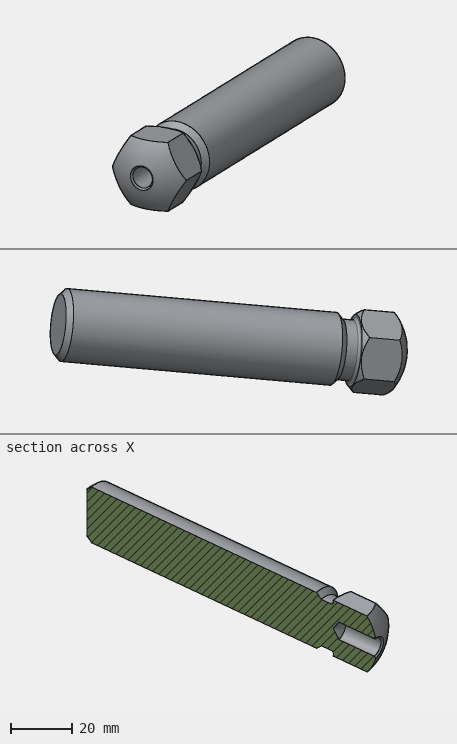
import cadquery as cq
import math

length = 117.0
tip_y = -length / 2
end_y = length / 2

shaft_radius = 11.99
end_chamfer = 2.0
neck_radius = 10.0
neck_chamfer = shaft_radius - neck_radius
neck_fillet = 0.9
shaft_start_y = tip_y + 24.0
neck_start_y = shaft_start_y - neck_chamfer

across_flats = 24.0
corner_radius = across_flats / math.sqrt(3)
head_length = 17.3
head_back_y = tip_y + head_length
back_face_radius = 11.8
back_chamfer = corner_radius - back_face_radius
dome_radius = 20.0

hole_radius = 3.6
rim_radius = 4.2
rim_depth = rim_radius - hole_radius
hole_depth = 15.0
drill_point_angle = 118.0
drill_point_length = hole_radius / math.tan(math.radians(drill_point_angle / 2))

dome_center_y = tip_y + math.sqrt(dome_radius**2 - rim_radius**2)
dome_apex_y = dome_center_y - dome_radius


def dome_y(radius):
    """Y position of the dome surface at a given distance from the axis."""
    return dome_center_y - math.sqrt(dome_radius**2 - radius**2)


def revolve_about_y(profile):
    return profile.close().revolve(360, (0, 0, 0), (0, 1, 0))


def make_shaft():
    """Chamfered shaft with a neck that flares into the head through a fillet."""
    fillet_drop = neck_fillet * (1 - math.sqrt(0.5))
    profile = (
        cq.Workplane("XY")
        .moveTo(0, head_back_y)
        .lineTo(neck_radius + neck_fillet, head_back_y)
        .threePointArc(
            (neck_radius + fillet_drop, head_back_y + fillet_drop),
            (neck_radius, head_back_y + neck_fillet),
        )
        .lineTo(neck_radius, neck_start_y)
        .lineTo(shaft_radius, shaft_start_y)
        .lineTo(shaft_radius, end_y - end_chamfer)
        .lineTo(shaft_radius - end_chamfer, end_y)
        .lineTo(0, end_y)
    )
    return revolve_about_y(profile)


def make_head():
    """Hex prism trimmed by a round dome in front and a conical chamfer behind."""
    hexagon = (
        cq.Workplane("XZ", origin=(0, head_back_y, 0))
        .polygon(6, 2 * corner_radius)
        .extrude(head_back_y - dome_apex_y)
    )
    arc_mid_radius = corner_radius / 2
    envelope = (
        cq.Workplane("XY")
        .moveTo(0, dome_apex_y)
        .threePointArc(
            (arc_mid_radius, dome_y(arc_mid_radius)),
            (corner_radius, dome_y(corner_radius)),
        )
        .lineTo(corner_radius, head_back_y - back_chamfer)
        .lineTo(back_face_radius, head_back_y)
        .lineTo(0, head_back_y)
    )
    return hexagon.intersect(revolve_about_y(envelope))


def make_hole():
    """Drilled hole with a conical point and a chamfered rim."""
    profile = (
        cq.Workplane("XY")
        .moveTo(0, dome_apex_y)
        .lineTo(rim_radius, dome_apex_y)
        .lineTo(rim_radius, tip_y)
        .lineTo(hole_radius, tip_y + rim_depth)
        .lineTo(hole_radius, tip_y + hole_depth)
        .lineTo(0, tip_y + hole_depth + drill_point_length)
    )
    return revolve_about_y(profile)


result = make_shaft().union(make_head()).cut(make_hole())